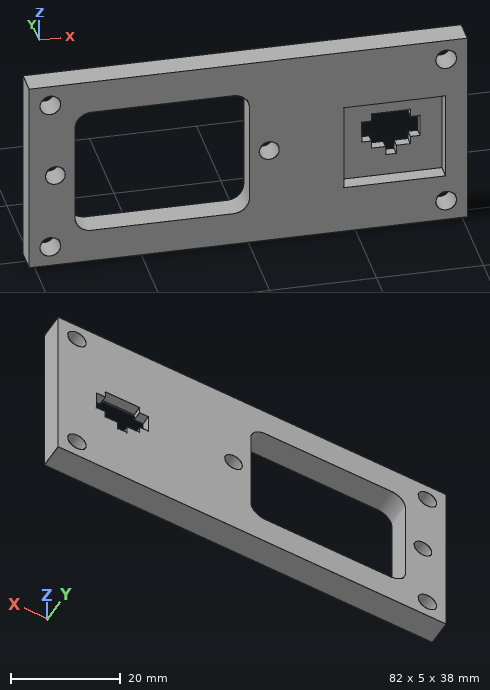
import cadquery as cq

plate_length = 82
plate_thickness = 5.0
plate_height = 38.0

corner_hole_diameter = 3.85
corner_spacing_x = 74.05
corner_spacing_z = 30.0

window_x = -16.1
window_width = 32.6
window_height = 25.0
window_radius = 3.0
screw_hole_diameter = 3.7
screw_spacing = 40.0

socket_x = 27.4
pocket_width = 19.0
pocket_height = 17.0
pocket_z = -1.2
pocket_depth = 3.0

opening_z = -0.25
opening_width = 7.2
opening_height = 7.2
wing_span = 10.9
wing_height = 4.2
notch_width = 2.0
notch_depth = 1.7


def rectangle_cutter(x, z, width, height, depth=plate_thickness):
    """Block that cuts a rectangle from the front face to the given depth."""
    front_y = -plate_thickness / 2
    return cq.Workplane("XY").box(width, depth, height).translate((x, front_y + depth / 2, z))


def drill_holes(body, x, spacing_x, spacing_z, diameter):
    """Drill through holes at the corners of a rectangle, or at two points if spacing_z is zero."""
    rows = (-spacing_z / 2, spacing_z / 2) if spacing_z else (0,)
    points = [(x + side * spacing_x / 2, z) for side in (-1, 1) for z in rows]
    cutters = cq.Workplane("XZ").pushPoints(points).circle(diameter / 2).extrude(plate_thickness, both=True)
    return body.cut(cutters)


def cut_window(body):
    window = rectangle_cutter(window_x, 0, window_width, window_height)
    return body.cut(window.edges("|Y").fillet(window_radius))


def cut_socket(body):
    pocket = rectangle_cutter(socket_x, pocket_z, pocket_width, pocket_height, pocket_depth)
    opening = rectangle_cutter(socket_x, opening_z, opening_width, opening_height)
    wings = rectangle_cutter(socket_x, opening_z, wing_span, wing_height)
    notch_height = opening_height / 2 + notch_depth
    notch = rectangle_cutter(socket_x, opening_z - notch_height / 2, notch_width, notch_height)
    return body.cut(pocket).cut(opening).cut(wings).cut(notch)


plate = cq.Workplane("XY").box(plate_length, plate_thickness, plate_height)
plate = drill_holes(plate, 0, corner_spacing_x, corner_spacing_z, corner_hole_diameter)
plate = drill_holes(plate, window_x, screw_spacing, 0, screw_hole_diameter)
plate = cut_window(plate)
result = cut_socket(plate)